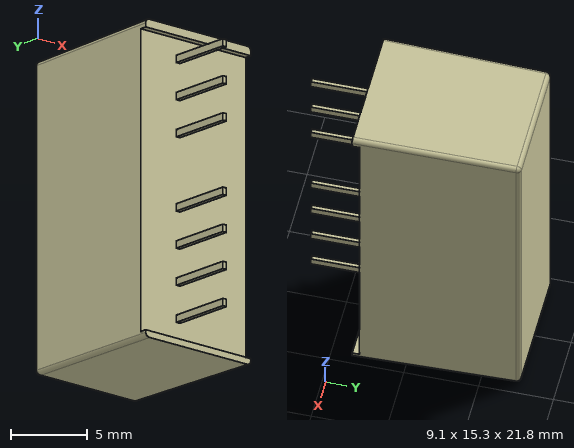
import cadquery as cq
import math

width = 9.1
height = 21.8
depth = 11.2
draft_angle = 0.9
edge_radius = 0.3

recess_depth = 0.5
top_lip = 0.6
bottom_lip = 0.45

pin_thickness = 0.3
pin_height = 0.5
pin_length = 4.1
pin_embed = 0.22
pin_x = -1.3
pin_places = 8
empty_place = 3
pin_row_span = 17.79
pin_pitch = pin_row_span / (pin_places - 1)


def make_case():
    narrowing = 2 * depth * math.tan(math.radians(draft_angle))
    block = (
        cq.Workplane("XZ")
        .rect(width, height)
        .workplane(offset=-depth)
        .rect(width - narrowing, height - narrowing)
        .loft(ruled=True)
    )
    return block.edges("not <Y").fillet(edge_radius)


def make_recess():
    recess_height = height - top_lip - bottom_lip
    center_z = (bottom_lip - top_lip) / 2
    return (
        cq.Workplane("XY")
        .box(width, recess_depth, recess_height, centered=(True, False, True))
        .translate((0, 0, center_z))
    )


def make_pin(z):
    full_length = pin_length + recess_depth + pin_embed
    return (
        cq.Workplane("XY")
        .box(pin_thickness, full_length, pin_height, centered=(True, False, True))
        .translate((pin_x, -pin_length, z))
    )


result = make_case().cut(make_recess())
for place in range(pin_places):
    if place != empty_place:
        result = result.union(make_pin(pin_row_span / 2 - place * pin_pitch))